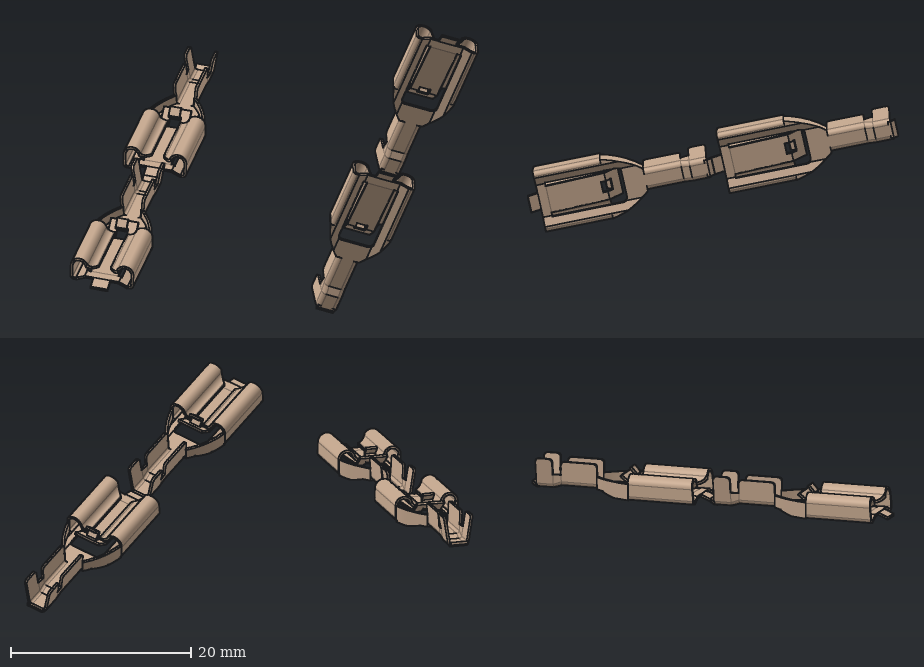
import cadquery as cq
import math


TERMINAL_COUNT = 2
LENGTH = 20.85
STRIP_DROP = 0.5
SHEET = 0.27
HALF_SHEET = SHEET / 2

INSULATION_START = 0.55
INSULATION_END = 2.5
WIRE_START = 3.45
WIRE_END = 7.67
WINDOW_START = 10.1
RECEPTACLE_START = 12.1
HINGE = 18.7
RECEPTACLE_END = 19.72

INSULATION_BASE = 0.145
INSULATION_TOP = 3.55
INSULATION_HALF_BASE = 1.15
INSULATION_HALF_TOP = 1.7
FLOOR_LEVEL = 0.45
WIRE_TOP = 3.3
WIRE_HALF_BASE = 1.25
WIRE_HALF_TOP = 1.4
BARREL_BEND = 0.6
WING_CORNER = 0.4
NECK_TOP = 1.75

HALF_WIDTH = 3.65
WALL_TOP = 1.85
CURL_RADIUS = 1.0
LIP_EDGE = 0.69
LIP_BEND_X = 0.88
LIP_LEVEL = 1.45
CORNER_BEND = 0.5
FLOOR_HALF_WIDTH = 1.9
DITCH_X = 2.9
MOUTH_RAKE = 0.2
LIP_FLARE_X = 1.95
LIP_FLARE_LENGTH = 1.2

FLANK_RADIUS = 9.9
FLANK_CENTRE_X = 6.15
FLANK_CENTRE_STATION = 14.15

WINDOW_HALF_WIDTH = 2.05
WINDOW_CORNER = 0.55
TONGUE_HALF_WIDTH = 1.6
TONGUE_KNEE = (12.1, 1.1)
TONGUE_TIP = (10.6, 2.3)
LANCE_HALF_WIDTH = 0.63
LANCE_ROOT = (11.45, 1.63)
LANCE_FOLD = (12.1, 2.3)
LANCE_TIP = (11.4, 3.1)
LANCE_SLOT_END = 12.6

CARRIER_HALF_WIDTH = 0.98
CARRIER_LEVEL = 0.63


def section_plane(station):
    """Cross-section plane (X, level); extruding goes forward, toward -Y."""
    return cq.Workplane("XZ", origin=(0, -station, 0))


def block(half_width, start, end, bottom, top):
    """Box centred on X between two stations and two levels."""
    size = (2 * half_width, end - start, top - bottom)
    return cq.Workplane("XY").box(*size, centered=(True, False, False)).translate((0, -end, bottom))


def bent_strip(path, half_width):
    """Flat strip of sheet bent along a path of (station, level) points at mid-sheet."""
    upper, lower = [], []
    for i, (station, level) in enumerate(path):
        before, after = path[max(i - 1, 0)], path[i + 1] if i + 1 < len(path) else path[i]
        turn_in = math.atan2(level - before[1], station - before[0])
        turn_out = math.atan2(after[1] - level, after[0] - station)
        if i == 0:
            turn_in = turn_out
        if i == len(path) - 1:
            turn_out = turn_in
        normal = (turn_in + turn_out) / 2 + math.pi / 2
        reach = HALF_SHEET / math.cos((turn_out - turn_in) / 2)
        shift = (reach * math.cos(normal), reach * math.sin(normal))
        upper.append((-station - shift[0], level + shift[1]))
        lower.append((-station + shift[0], level - shift[1]))
    return cq.Workplane("YZ").polyline(upper + lower[::-1]).close().extrude(half_width, both=True)


def channel_section(station, half_base, base, lean, top):
    """Cross-section of a U channel with rounded bends and walls that lean outward."""
    turn = math.pi / 2 - lean

    def side(inset):
        """Floor-edge, mid-bend, wall-foot and wall-top points of one sheet surface."""
        radius = BARREL_BEND - inset
        centre_x = half_base - BARREL_BEND * math.tan(turn / 2)
        centre_z = base + BARREL_BEND
        points = [
            (centre_x + radius * math.sin(angle), centre_z - radius * math.cos(angle))
            for angle in (0, turn / 2, turn)
        ]
        wall_top_x = half_base + (top - base) * math.tan(lean) - inset / math.cos(lean)
        points.append((wall_top_x, top))
        return points

    def mirrored(points):
        return [(-x, z) for x, z in points]

    outer, inner = side(0), side(SHEET)
    left_outer, left_inner = mirrored(outer), mirrored(inner)
    outline = section_plane(station).moveTo(*left_outer[3]).lineTo(*left_outer[2])
    outline = outline.threePointArc(left_outer[1], left_outer[0]).lineTo(*outer[0])
    outline = outline.threePointArc(outer[1], outer[2]).lineTo(*outer[3])
    outline = outline.lineTo(*inner[3]).lineTo(*inner[2])
    outline = outline.threePointArc(inner[1], inner[0]).lineTo(*left_inner[0])
    outline = outline.threePointArc(left_inner[1], left_inner[2])
    return outline.lineTo(*left_inner[3]).close()


def insulation_section(station, top):
    """Insulation barrel section, cut off at a level."""
    spread = INSULATION_HALF_TOP - INSULATION_HALF_BASE
    lean = math.atan2(spread, INSULATION_TOP - INSULATION_BASE)
    return channel_section(station, INSULATION_HALF_BASE, INSULATION_BASE, lean, top)


def wire_section(station, top):
    """Wire barrel section, cut off at a level."""
    lean = math.atan2(WIRE_HALF_TOP - WIRE_HALF_BASE, WIRE_TOP - FLOOR_LEVEL)
    return channel_section(station, WIRE_HALF_BASE, FLOOR_LEVEL, lean, top)


def wing_outline(start, end, top):
    """Block that rounds the upper corners of a pair of crimp wings."""
    return block(HALF_WIDTH, start, end, 0, top).edges("|X and >Z").fillet(WING_CORNER)


def insulation_barrel():
    """Rear crimp barrel that grips the cable insulation."""
    length = INSULATION_END - INSULATION_START
    barrel = insulation_section(INSULATION_START, INSULATION_TOP).extrude(length)
    return barrel.intersect(wing_outline(INSULATION_START, INSULATION_END, INSULATION_TOP))


def wire_barrel():
    """Front crimp barrel that grips the bare wire."""
    barrel = wire_section(WIRE_START, WIRE_TOP).extrude(WIRE_END - WIRE_START)
    return barrel.intersect(wing_outline(WIRE_START, WIRE_END, WIRE_TOP))


def neck():
    """Low channel that blends the insulation barrel into the wire barrel."""
    rear = insulation_section(INSULATION_END, NECK_TOP).wires().val()
    front = wire_section(WIRE_START, NECK_TOP).wires().val()
    return cq.Workplane(cq.Solid.makeLoft([rear, front], True))


def floor_points(rise):
    """One surface of the floor from the middle to the side ditch, `rise` above the underside."""
    slope = math.atan2(FLOOR_LEVEL, DITCH_X - FLOOR_HALF_WIDTH)
    mitre = rise * math.tan(slope / 2)
    return [
        (0, FLOOR_LEVEL + rise),
        (FLOOR_HALF_WIDTH + mitre, FLOOR_LEVEL + rise),
        (DITCH_X + mitre, rise),
    ]


def receptacle_surface(inset):
    """Points of one sheet surface of the right half, from the floor round to the lip edge."""
    diagonal = math.sqrt(0.5)
    wall_x = HALF_WIDTH - inset
    bend = CORNER_BEND - inset
    bend_x = HALF_WIDTH - CORNER_BEND
    curl_x = HALF_WIDTH - CURL_RADIUS
    curl_middle = CURL_RADIUS - HALF_SHEET
    gap_x = curl_x - LIP_BEND_X
    gap_z = WALL_TOP - LIP_LEVEL
    lip_middle = (gap_x**2 + gap_z**2 - curl_middle**2) / (2 * (curl_middle + gap_z))
    lip_z = LIP_LEVEL + lip_middle
    joint = math.atan2(lip_z - WALL_TOP, -gap_x)
    curl = CURL_RADIUS - inset
    lip = lip_middle - HALF_SHEET + inset
    lip_low = -math.pi / 2
    lip_mid = (joint - math.pi + lip_low) / 2
    return {
        "floor": floor_points(inset),
        "corner": [
            (bend_x, inset),
            (bend_x + bend * diagonal, CORNER_BEND - bend * diagonal),
            (wall_x, CORNER_BEND),
        ],
        "curl": [
            (wall_x, WALL_TOP),
            (curl_x + curl * math.cos(joint / 2), WALL_TOP + curl * math.sin(joint / 2)),
            (curl_x + curl * math.cos(joint), WALL_TOP + curl * math.sin(joint)),
        ],
        "lip": [
            (LIP_BEND_X + lip * math.cos(lip_mid), lip_z + lip * math.sin(lip_mid)),
            (LIP_BEND_X, lip_z - lip),
            (LIP_EDGE, lip_z - lip),
        ],
    }


def receptacle():
    """Box-like socket with rolled sides whose lips hang above the floor."""
    outer, inner = receptacle_surface(0), receptacle_surface(SHEET)
    outline = section_plane(RECEPTACLE_START).polyline(outer["floor"] + outer["corner"][:1])
    outline = outline.threePointArc(*outer["corner"][1:]).lineTo(*outer["curl"][0])
    outline = outline.threePointArc(*outer["curl"][1:]).threePointArc(*outer["lip"][:2])
    outline = outline.lineTo(*outer["lip"][2]).lineTo(*inner["lip"][2]).lineTo(*inner["lip"][1])
    outline = outline.threePointArc(inner["lip"][0], inner["curl"][2])
    outline = outline.threePointArc(inner["curl"][1], inner["curl"][0]).lineTo(*inner["corner"][2])
    outline = outline.threePointArc(inner["corner"][1], inner["corner"][0])
    for point in inner["floor"][::-1]:
        outline = outline.lineTo(*point)
    half = outline.close().extrude(RECEPTACLE_END - RECEPTACLE_START)
    return half.union(half.mirror("YZ")).cut(mouth_rake()).cut(lip_flare())


def mouth_rake():
    """Wedge that leans the mouth of the socket back above the floor."""
    top = WALL_TOP + CURL_RADIUS
    foot = FLOOR_LEVEL + SHEET
    wedge = [(-RECEPTACLE_END, foot), (-RECEPTACLE_END, top), (MOUTH_RAKE - RECEPTACLE_END, top)]
    return cq.Workplane("YZ").polyline(wedge).close().extrude(HALF_WIDTH, both=True)


def lip_flare():
    """Trapezoid that trims the lips away at the mouth."""
    rear = LIP_FLARE_LENGTH - RECEPTACLE_END
    front = -RECEPTACLE_END
    corners = [(-LIP_EDGE, rear), (LIP_EDGE, rear), (LIP_FLARE_X, front), (-LIP_FLARE_X, front)]
    flare = cq.Workplane("XY").workplane(offset=FLOOR_LEVEL + SHEET)
    return flare.polyline(corners).close().extrude(WALL_TOP + CURL_RADIUS)


def flank_lens(radius):
    """Pointed plan shape between two mirrored flank arcs, as a tall prism."""
    disc = cq.Workplane("XY").circle(radius).extrude(WALL_TOP)
    right_edge = disc.translate((-FLANK_CENTRE_X, -FLANK_CENTRE_STATION, 0))
    return right_edge.intersect(right_edge.mirror("YZ"))


def above_floor(rise):
    """Prism of everything above one floor surface, up to the wall tops."""
    edge = [(HALF_WIDTH, rise), (HALF_WIDTH, WALL_TOP), (0, WALL_TOP)]
    half = section_plane(WIRE_END).polyline(floor_points(rise) + edge).close()
    half = half.extrude(RECEPTACLE_START - WIRE_END)
    return half.union(half.mirror("YZ"))


def flared_transition():
    """Tray with curved flanks between the wire barrel and the receptacle."""
    tray = above_floor(0).intersect(flank_lens(FLANK_RADIUS))
    hollow = above_floor(SHEET).intersect(flank_lens(FLANK_RADIUS - SHEET))
    return tray.cut(hollow)


def tongue_window():
    """Opening in the floor around the spring tongue."""
    window = block(WINDOW_HALF_WIDTH, WINDOW_START, HINGE, 0, FLOOR_LEVEL + SHEET)
    return window.edges("|Z and >Y").fillet(WINDOW_CORNER)


def spring_tongue():
    """Tongue hinged at the floor, with a slot from which a folded lance stands up."""
    floor_middle = FLOOR_LEVEL + HALF_SHEET
    path = [TONGUE_TIP, TONGUE_KNEE, (HINGE, floor_middle), (RECEPTACLE_END, floor_middle)]
    tongue = bent_strip(path, TONGUE_HALF_WIDTH)
    slot = block(LANCE_HALF_WIDTH, LANCE_ROOT[0], LANCE_SLOT_END, 0, WALL_TOP + SHEET)
    lance = bent_strip([LANCE_ROOT, LANCE_FOLD], LANCE_HALF_WIDTH)
    lance = lance.union(bent_strip([LANCE_FOLD, LANCE_TIP], LANCE_HALF_WIDTH))
    return tongue.cut(slot).union(lance)


def carrier_links():
    """Sloping links to the neighbouring terminals, cut square at both ends."""
    floor_middle = FLOOR_LEVEL + HALF_SHEET
    barrel_middle = INSULATION_BASE + HALF_SHEET
    rear_slope = (CARRIER_LEVEL - barrel_middle) / INSULATION_START
    front_level = CARRIER_LEVEL - STRIP_DROP
    front_slope = (floor_middle - front_level) / (LENGTH - RECEPTACLE_END)
    rear_path = [
        (-SHEET, CARRIER_LEVEL + rear_slope * SHEET),
        (INSULATION_START, barrel_middle),
        (INSULATION_START + SHEET, barrel_middle),
    ]
    front_path = [
        (RECEPTACLE_END - SHEET, floor_middle),
        (RECEPTACLE_END, floor_middle),
        (LENGTH + SHEET, front_level - front_slope * SHEET),
    ]
    rear = bent_strip(rear_path, CARRIER_HALF_WIDTH)
    front = bent_strip(front_path, CARRIER_HALF_WIDTH)
    return rear.union(front).intersect(block(HALF_WIDTH, 0, LENGTH, 0, INSULATION_TOP))


def terminal():
    """One complete stamped terminal."""
    socket = flared_transition().union(receptacle()).cut(tongue_window()).union(spring_tongue())
    barrels = insulation_barrel().union(neck()).union(wire_barrel())
    return barrels.union(socket).union(carrier_links())


single_terminal = terminal().solids()
terminals = []
for index in range(TERMINAL_COUNT):
    rear_end = LENGTH * (TERMINAL_COUNT / 2 - index)
    terminals.append(single_terminal.translate((0, rear_end, -STRIP_DROP * index)).val())

result = cq.Compound.makeCompound(terminals)